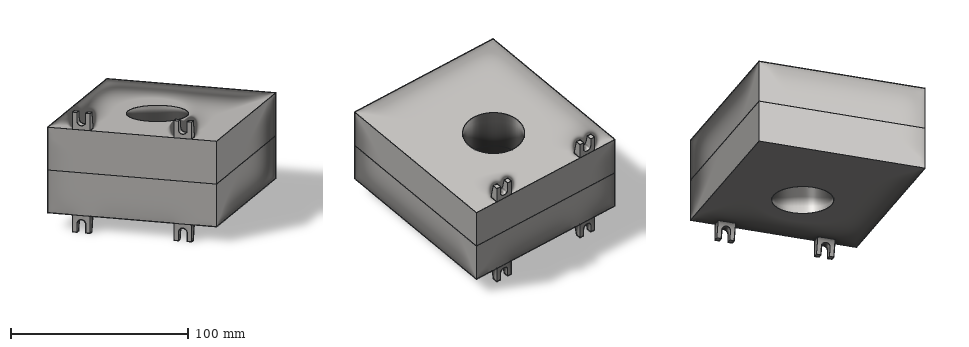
import cadquery as cq

width = 100.0
depth = 110.0
housing_height = 50.0
half_height = housing_height / 2

bore_diameter = 35.0
bore_from_front = 47.0

foot_width = 10.5
foot_length = 10.0
foot_base_thickness = 5.4
foot_tip_thickness = 3.25
foot_spacing = 60.0
slot_width = 5.1
slot_depth = 7.55


def housing_half(bottom):
    """Rectangular half block with the bore through it."""
    block = cq.Workplane("XY").box(width, depth, half_height, centered=(True, False, False))
    bore = (
        cq.Workplane("XY")
        .center(0, bore_from_front)
        .circle(bore_diameter / 2)
        .extrude(half_height)
    )
    return block.cut(bore).translate((0, 0, bottom))


def top_foot(x):
    """Tapered foot on the upper face with a round-ended slot open at its tip."""
    base = half_height
    tip = base + foot_length
    foot = (
        cq.Workplane("YZ")
        .polyline([(0, base), (foot_base_thickness, base), (foot_tip_thickness, tip), (0, tip)])
        .close()
        .extrude(foot_width / 2, both=True)
    )
    slot_radius = slot_width / 2
    slot_center = tip - slot_depth + slot_radius
    slot = (
        cq.Workplane("XZ")
        .moveTo(-slot_radius, tip)
        .lineTo(-slot_radius, slot_center)
        .threePointArc((0, slot_center - slot_radius), (slot_radius, slot_center))
        .lineTo(slot_radius, tip)
        .close()
        .extrude(-foot_base_thickness)
    )
    return foot.cut(slot).translate((x, 0, 0))


lower_half = housing_half(-half_height)
upper_half = housing_half(0)

feet = []
for x in (-foot_spacing / 2, foot_spacing / 2):
    foot = top_foot(x)
    feet.append(foot.val())
    feet.append(foot.mirror("XY").val())

result = cq.Compound.makeCompound([lower_half.val(), upper_half.val(), *feet])